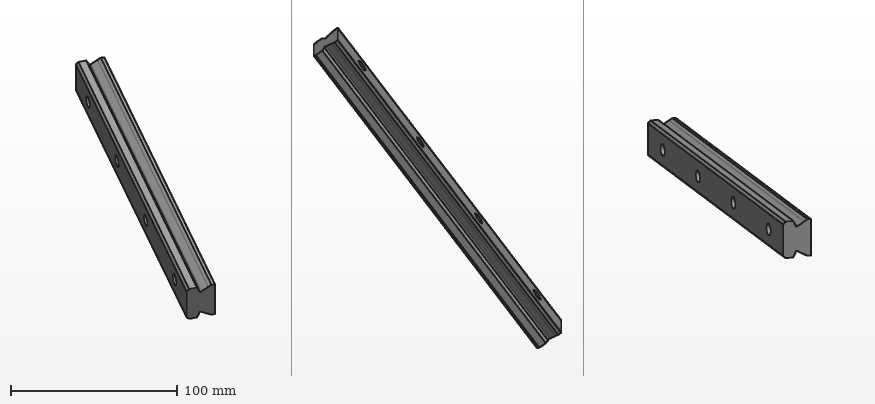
import cadquery as cq

length = 230.0
depth = 18.0
height = 23.0

front_chamfer = 1.5
back_chamfer = 0.2
back_land = 2.3
groove_lip_run = 2.0
groove_lip_drop = 1.2
groove_bottom_from_back = 8.7
groove_depth = 3.7
front_land_from_front = 6.5
groove_wall_run = 1.5
groove_wall_foot_depth = 2.8
relief_from_back = 9.7

hole_diameter = 7.1
hole_count = 4
hole_pitch = 60.0

front = -depth / 2
back = depth / 2
top = height / 2


def make_rail():
    """Extrude the symmetric dovetail section along the rail."""
    groove_front = front + front_land_from_front
    relief_middle = (back - relief_from_back, top - groove_depth)
    relief_end = (back - groove_bottom_from_back, top - groove_depth)
    upper_half = (
        cq.Workplane("YZ")
        .moveTo(front, 0)
        .lineTo(front, top - front_chamfer)
        .lineTo(front + front_chamfer, top)
        .lineTo(groove_front, top)
        .lineTo(groove_front + groove_wall_run, top - groove_wall_foot_depth)
        .threePointArc(relief_middle, relief_end)
        .lineTo(back - back_land - groove_lip_run, top - groove_lip_drop)
        .lineTo(back - back_land, top)
        .lineTo(back - back_chamfer, top)
        .lineTo(back, top - back_chamfer)
        .lineTo(back, 0)
    )
    section = upper_half.mirrorX()
    return section.extrude(length / 2, both=True)


def make_holes():
    """Row of through holes running front to back, centred on the rail."""
    return (
        cq.Workplane("XZ")
        .rarray(hole_pitch, 2.3, hole_count, 1)
        .circle(hole_diameter / 2)
        .extrude(depth, both=True)
    )


result = make_rail().cut(make_holes())